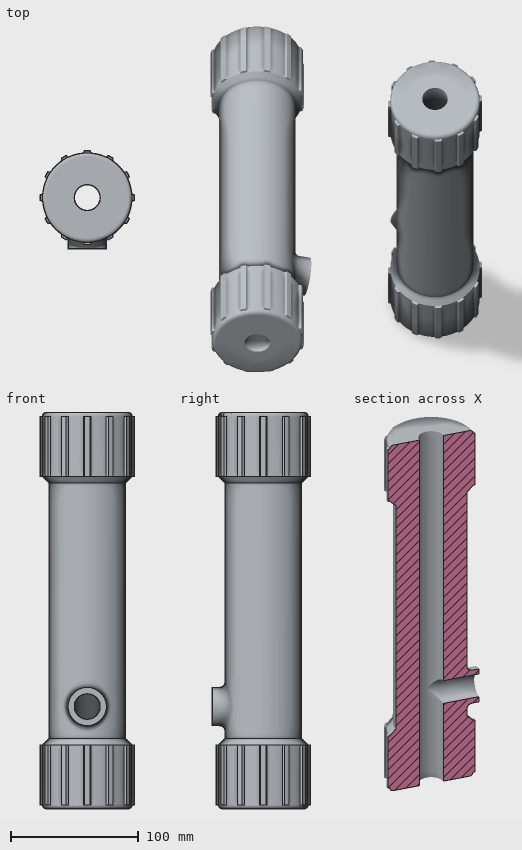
import cadquery as cq
import math

total_length = 310.0
tube_diameter = 60.0
bore_diameter = 20.0

cap_radius = 35.0
cap_grip_height = 50.0
cap_edge_fillet = 3.0
cap_shoulder_height = cap_radius - tube_diameter / 2

rib_count = 12
rib_reach = 36.835
rib_tip_width = 4.3
rib_root_width = 6.7
rib_embed = 1.0
rib_root_radius = cap_radius - rib_embed
rib_length = cap_grip_height - cap_edge_fillet

port_outer_diameter = 30.0
port_bore_diameter = 20.0
port_reach = 40.0
port_height = 80.0
port_root_fillet = 4.0


def make_tube_with_port():
    """Solid tube and port stub, blended where they meet."""
    tube = cq.Workplane("XY").circle(tube_diameter / 2).extrude(total_length)
    port = (
        cq.Workplane("XZ", origin=(0, 0, port_height))
        .circle(port_outer_diameter / 2)
        .extrude(port_reach)
    )
    half_zone = port_outer_diameter
    junction_zone = cq.selectors.BoxSelector(
        (-half_zone, -tube_diameter / 2, port_height - half_zone),
        (half_zone, 0, port_height + half_zone),
    )
    return tube.union(port).edges(junction_zone).fillet(port_root_fillet)


def make_rib(angle):
    """One tapered grip rib of the lower cap, turned about Z by the angle in degrees."""
    return (
        cq.Workplane("XY", origin=(0, 0, cap_edge_fillet))
        .polyline(
            [
                (rib_root_radius, -rib_root_width / 2),
                (rib_reach, -rib_tip_width / 2),
                (rib_reach, rib_tip_width / 2),
                (rib_root_radius, rib_root_width / 2),
            ]
        )
        .close()
        .extrude(rib_length)
        .rotate((0, 0, 0), (0, 0, 1), angle)
    )


def make_cap():
    """Lower end cap: rounded bottom edge, conical shoulder and grip ribs."""
    arc_middle = cap_edge_fillet * math.sqrt(0.5)
    cap = (
        cq.Workplane("XZ")
        .lineTo(cap_radius - cap_edge_fillet, 0)
        .threePointArc(
            (cap_radius - cap_edge_fillet + arc_middle, cap_edge_fillet - arc_middle),
            (cap_radius, cap_edge_fillet),
        )
        .lineTo(cap_radius, cap_grip_height)
        .lineTo(tube_diameter / 2, cap_grip_height + cap_shoulder_height)
        .lineTo(0, cap_grip_height + cap_shoulder_height)
        .close()
        .revolve(360, (0, 0, 0), (0, 1, 0))
    )
    for index in range(rib_count):
        cap = cap.union(make_rib(index * 360 / rib_count))
    return cap


def cut_bores(body):
    """Bore the full length, and the port as far as the tube axis."""
    main_bore = cq.Workplane("XY").circle(bore_diameter / 2).extrude(total_length)
    port_bore = (
        cq.Workplane("XZ", origin=(0, 0, port_height))
        .circle(port_bore_diameter / 2)
        .extrude(port_reach)
    )
    return body.cut(main_bore).cut(port_bore)


lower_cap = make_cap()
upper_cap = lower_cap.mirror("XY", (0, 0, total_length / 2))

result = cut_bores(make_tube_with_port().union(lower_cap).union(upper_cap))